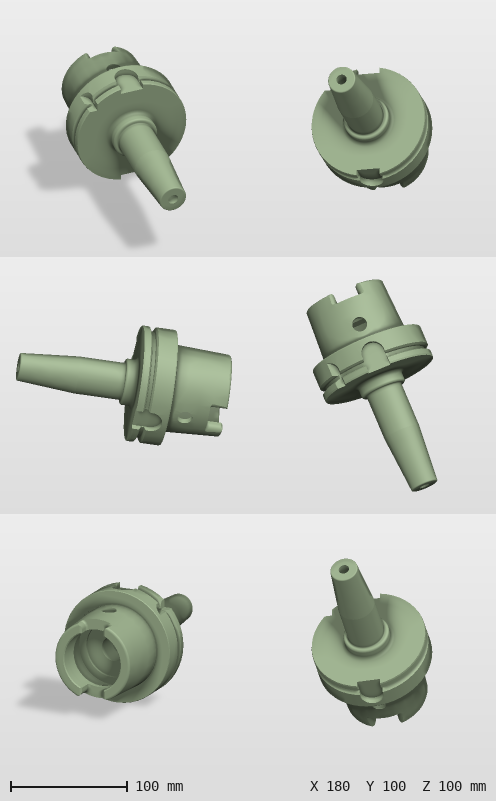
import cadquery as cq
import math

LENGTH = 180.0

TAPER_BIG_D = 75.5
TAPER_END = 47.9
TAPER_SLOPE = 0.05
TAPER_MOUTH_ROUND = 2.0
RELIEF_WIDTH = 1.0
RELIEF_DEPTH = 0.7

FLANGE_D = 100.0
FLANGE_START = 50.0
FLANGE_END = 79.0
FLANGE_EDGE_DROP = 0.4
FLANGE_FRONT_EDGE = 0.9
FLANGE_REAR_EDGE = 1.5
RECESS_D = 78.3
RECESS_DEPTH = 0.5
GROOVE_X = 70.0
GROOVE_TOP = 6.5
GROOVE_KINK = 3.8
GROOVE_BOTTOM = 2.9
GROOVE_KINK_D = 95.4
GROOVE_D = 91.8

COLLAR_D = 40.0
COLLAR_END = 89.1
COLLAR_ROOT_FILLET = 3.0
COLLAR_ROUND = 2.0
NOSE_D = 32.0
NOSE_ROOT_FILLET = 1.0
NOSE_CONE_START = 129.2
NOSE_CONE_ANGLE = 4.5
NOSE_TIP_ROUND = 1.0

BORE_D = 53.0
BORE_CHAMFER = 0.9
BORE_LENGTH = 19.6
UNDERCUT_D = 63.0
UNDERCUT_ANGLE = 60.0
UNDERCUT_END = 41.8
FLOOR_D = 49.9
FLOOR_X = 44.5
COOLANT_D = 22.3
COOLANT_END = 64.8
THROUGH_D = 9.0
COUNTERSINK_D = 12.0

DRIVE_WIDTH = 20.0
DRIVE_DEPTH_TOP = 10.0
DRIVE_DEPTH_BOTTOM = 15.0
DRIVE_SHOULDER_Z = 32.4
DRIVE_FLARE_R = 5.0
DRIVE_FLOOR_FILLET = 2.0
DRIVE_MOUTH_CHAMFER = 1.6

CROSS_HOLE_D = 12.8
CROSS_HOLE_X = 35.0

SLOT_WIDTH = 20.0
SLOT_FLOOR_Z = 44.0
SLOT_ARC_X = 64.8
NOTCH_OFFSET = 31.7

CLEAR = 3.6

ARC_MID = 1 - math.sqrt(0.5)


def outer_body():
    """Solid of revolution: taper, flange, collar and nose."""
    taper_r = TAPER_BIG_D / 2
    mouth_r = taper_r - TAPER_SLOPE * TAPER_END
    flange_r = FLANGE_D / 2
    collar_r = COLLAR_D / 2
    nose_r = NOSE_D / 2
    tip_r = nose_r - (LENGTH - NOSE_CONE_START) * math.tan(math.radians(NOSE_CONE_ANGLE))
    root = COLLAR_ROOT_FILLET
    edge = COLLAR_ROUND
    foot = NOSE_ROOT_FILLET
    tip = NOSE_TIP_ROUND
    mouth = TAPER_MOUTH_ROUND
    return (
        cq.Workplane("XY")
        .lineTo(0, mouth_r - mouth)
        .threePointArc(
            (mouth * ARC_MID, mouth_r - mouth * ARC_MID),
            (mouth, mouth_r + TAPER_SLOPE * mouth),
        )
        .lineTo(TAPER_END, taper_r)
        .lineTo(TAPER_END + RELIEF_WIDTH / 2, taper_r - RELIEF_DEPTH)
        .lineTo(TAPER_END + RELIEF_WIDTH, taper_r)
        .lineTo(FLANGE_START + RECESS_DEPTH, taper_r)
        .lineTo(FLANGE_START + RECESS_DEPTH, RECESS_D / 2)
        .lineTo(FLANGE_START, RECESS_D / 2)
        .lineTo(FLANGE_START, flange_r - FLANGE_EDGE_DROP)
        .lineTo(FLANGE_START + FLANGE_FRONT_EDGE, flange_r)
        .lineTo(GROOVE_X - GROOVE_TOP / 2, flange_r)
        .lineTo(GROOVE_X - GROOVE_KINK / 2, GROOVE_KINK_D / 2)
        .lineTo(GROOVE_X - GROOVE_BOTTOM / 2, GROOVE_D / 2)
        .lineTo(GROOVE_X + GROOVE_BOTTOM / 2, GROOVE_D / 2)
        .lineTo(GROOVE_X + GROOVE_KINK / 2, GROOVE_KINK_D / 2)
        .lineTo(GROOVE_X + GROOVE_TOP / 2, flange_r)
        .lineTo(FLANGE_END - FLANGE_REAR_EDGE, flange_r)
        .lineTo(FLANGE_END, flange_r - FLANGE_EDGE_DROP)
        .lineTo(FLANGE_END, collar_r + root)
        .threePointArc(
            (FLANGE_END + root * ARC_MID, collar_r + root * ARC_MID),
            (FLANGE_END + root, collar_r),
        )
        .lineTo(COLLAR_END - edge, collar_r)
        .threePointArc(
            (COLLAR_END - edge * ARC_MID, collar_r - edge * ARC_MID),
            (COLLAR_END, collar_r - edge),
        )
        .lineTo(COLLAR_END, nose_r + foot)
        .threePointArc(
            (COLLAR_END + foot * ARC_MID, nose_r + foot * ARC_MID),
            (COLLAR_END + foot, nose_r),
        )
        .lineTo(NOSE_CONE_START, nose_r)
        .lineTo(LENGTH - tip, tip_r)
        .threePointArc(
            (LENGTH - tip * ARC_MID, tip_r - tip * ARC_MID),
            (LENGTH, tip_r - tip),
        )
        .lineTo(LENGTH, 0)
        .close()
        .revolve(360, (0, 0, 0), (1, 0, 0))
    )


def inner_space():
    """Clamping bore with undercut, coolant bore and through hole."""
    bore_r = BORE_D / 2
    undercut_r = UNDERCUT_D / 2
    shoulder = (undercut_r - bore_r) / math.tan(math.radians(UNDERCUT_ANGLE))
    sink = (COUNTERSINK_D - THROUGH_D) / 2
    return (
        cq.Workplane("XY")
        .lineTo(0, bore_r + BORE_CHAMFER)
        .lineTo(BORE_CHAMFER, bore_r)
        .lineTo(BORE_LENGTH, bore_r)
        .lineTo(BORE_LENGTH + shoulder, undercut_r)
        .lineTo(UNDERCUT_END, undercut_r)
        .lineTo(UNDERCUT_END, FLOOR_D / 2)
        .lineTo(FLOOR_X, FLOOR_D / 2)
        .lineTo(FLOOR_X, COOLANT_D / 2)
        .lineTo(COOLANT_END, COOLANT_D / 2)
        .lineTo(COOLANT_END, COUNTERSINK_D / 2)
        .lineTo(COOLANT_END + sink, THROUGH_D / 2)
        .lineTo(LENGTH, THROUGH_D / 2)
        .lineTo(LENGTH, 0)
        .close()
        .revolve(360, (0, 0, 0), (1, 0, 0))
    )


def drive_profile():
    """Upper drive slot section in the YZ plane, flared outwards at the shoulders."""
    half = DRIVE_WIDTH / 2
    flare = DRIVE_FLARE_R
    flare_mid = flare * ARC_MID
    arc_start_z = DRIVE_SHOULDER_Z - flare
    top_z = TAPER_BIG_D / 2 + CLEAR
    side = half + flare + CLEAR
    return (
        cq.Workplane("YZ")
        .moveTo(-half, BORE_D / 4)
        .lineTo(half, BORE_D / 4)
        .lineTo(half, arc_start_z)
        .threePointArc((half + flare_mid, DRIVE_SHOULDER_Z - flare_mid), (half + flare, DRIVE_SHOULDER_Z))
        .lineTo(side, DRIVE_SHOULDER_Z)
        .lineTo(side, top_z)
        .lineTo(-side, top_z)
        .lineTo(-side, DRIVE_SHOULDER_Z)
        .lineTo(-half - flare, DRIVE_SHOULDER_Z)
        .threePointArc((-half - flare_mid, DRIVE_SHOULDER_Z - flare_mid), (-half, arc_start_z))
        .close()
    )


def drive_slot(depth):
    """Cutter for one drive slot on the +Z side, with chamfered wall ends."""
    slot = drive_profile().extrude(depth).faces(">X").edges().fillet(DRIVE_FLOOR_FILLET)
    half = DRIVE_WIDTH / 2
    chamfer = DRIVE_MOUTH_CHAMFER
    mouth = (
        cq.Workplane("XY", origin=(0, 0, BORE_D / 4))
        .moveTo(0, -half - chamfer)
        .lineTo(chamfer, -half)
        .lineTo(chamfer, half)
        .lineTo(0, half + chamfer)
        .close()
        .extrude(DRIVE_SHOULDER_Z - BORE_D / 4)
    )
    return slot.union(mouth)


def flange_slot():
    """Round-ended flat slot across the top of the flange, open towards +X."""
    half = SLOT_WIDTH / 2
    return (
        cq.Workplane("XY", origin=(0, 0, SLOT_FLOOR_Z))
        .moveTo(FLANGE_END, half)
        .lineTo(SLOT_ARC_X, half)
        .threePointArc((SLOT_ARC_X - half, 0), (SLOT_ARC_X, -half))
        .lineTo(FLANGE_END, -half)
        .close()
        .extrude(FLANGE_D / 2)
    )


def orientation_notch():
    """L-shaped notch in the -Y +Z quadrant of the flange with a rounded end."""
    radius = SLOT_WIDTH / 2
    wall_y = -NOTCH_OFFSET
    return (
        cq.Workplane("XY", origin=(0, 0, NOTCH_OFFSET))
        .moveTo(FLANGE_END, wall_y)
        .lineTo(SLOT_ARC_X, wall_y)
        .threePointArc((SLOT_ARC_X - radius, wall_y - radius), (SLOT_ARC_X, wall_y - 2 * radius))
        .lineTo(FLANGE_END, wall_y - 2 * radius)
        .close()
        .extrude(FLANGE_D / 2)
    )


def turned_over(cutter):
    """The same cutter on the -Z side."""
    return cutter.rotate((0, 0, 0), (1, 0, 0), 180)


cross_hole = (
    cq.Workplane("XY", origin=(CROSS_HOLE_X, 0, 0))
    .circle(CROSS_HOLE_D / 2)
    .extrude(TAPER_BIG_D, both=True)
)

cutters = [
    inner_space(),
    drive_slot(DRIVE_DEPTH_TOP),
    turned_over(drive_slot(DRIVE_DEPTH_BOTTOM)),
    cross_hole,
    flange_slot(),
    turned_over(flange_slot()),
    orientation_notch(),
]

result = outer_body()
for cutter in cutters:
    result = result.cut(cutter)